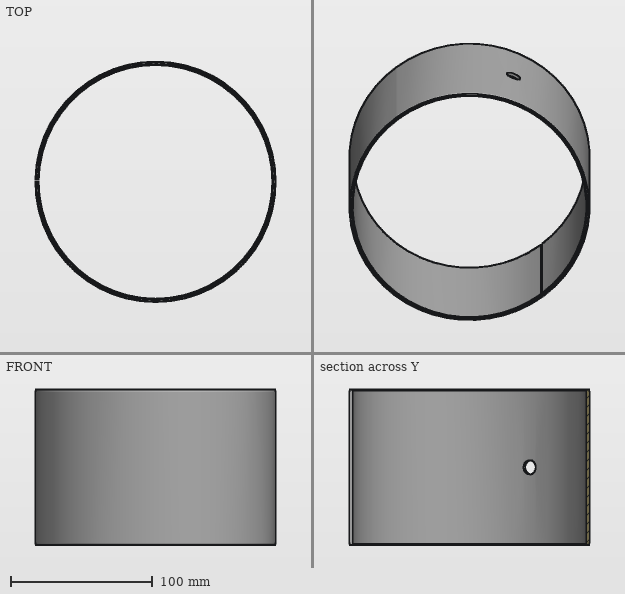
import cadquery as cq

outer_diameter = 170.0
height = 110.0
wall = 2.5
outer_bevel_height = 1.7
outer_bevel_width = 0.5
inner_bevel = 0.8
slit_width = 1.4
hole_diameter = 10.0
hole_angle = 59.0

outer_radius = outer_diameter / 2
inner_radius = outer_radius - wall


def make_sleeve():
    """Revolve the wall section, with both rims bevelled inside and outside."""
    section = (
        cq.Workplane("XZ")
        .moveTo(inner_radius + inner_bevel, 0)
        .lineTo(outer_radius - outer_bevel_width, 0)
        .lineTo(outer_radius, outer_bevel_height)
        .lineTo(outer_radius, height - outer_bevel_height)
        .lineTo(outer_radius - outer_bevel_width, height)
        .lineTo(inner_radius + inner_bevel, height)
        .lineTo(inner_radius, height - inner_bevel)
        .lineTo(inner_radius, inner_bevel)
        .close()
    )
    return section.revolve(360, (0, 0, 0), (0, 1, 0))


def make_slit():
    """Full-height cut through the wall on the -X side, with one face on the XZ plane."""
    return cq.Workplane("XY").box(
        outer_diameter, slit_width, height, centered=(True, False, False)
    ).translate((-outer_radius, 0, 0))


def make_hole():
    """Radial hole through one side of the wall at mid-height."""
    return (
        cq.Workplane("YZ")
        .center(0, height / 2)
        .circle(hole_diameter / 2)
        .extrude(outer_diameter)
        .rotate((0, 0, 0), (0, 0, 1), hole_angle)
    )


result = make_sleeve().cut(make_slit()).cut(make_hole())